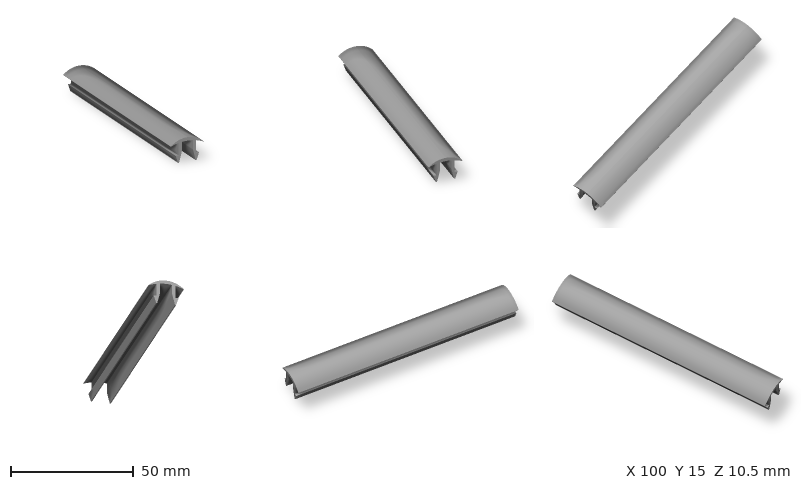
import cadquery as cq

LENGTH = 100.0
WIDTH = 15.0
HEIGHT = 10.45

CAP_RISE = 2.95
CAP_EDGE_THICKNESS = 0.1
CAP_THICKNESS = 1.5
UNDERSIDE_RISE = CAP_RISE + CAP_EDGE_THICKNESS - CAP_THICKNESS

LEG_INNER = 2.5
LEG_THICKNESS = 1.5
LEG_OUTER = LEG_INNER + LEG_THICKNESS
BARB_OVERHANG = 1.25
BARB_OUTER = LEG_OUTER + BARB_OVERHANG
FOOT_INNER = 3.75
FOOT_WIDTH = 0.45
FOOT_OUTER = FOOT_INNER + FOOT_WIDTH

CROWN_Z = HEIGHT
EDGE_Z = CROWN_Z - CAP_RISE
UNDERSIDE_Z = CROWN_Z - CAP_THICKNESS
LOWER_EDGE_Z = EDGE_Z - CAP_EDGE_THICKNESS
TAPER_Z = 4.8
BARB_Z = 3.2

BARB_LAND = 0.15


def arc_point(crown_z, rise, y):
    """Point at y on a symmetric arc across the full width with the given crown height and rise."""
    radius = ((WIDTH / 2) ** 2 + rise ** 2) / (2 * rise)
    return y, crown_z - radius + (radius ** 2 - y ** 2) ** 0.5


def upper_point(y):
    """Point on the top of the cap."""
    return arc_point(CROWN_Z, CAP_RISE, y)


def lower_point(y):
    """Point on the underside of the cap."""
    return arc_point(UNDERSIDE_Z, UNDERSIDE_RISE, y)


def leg_points(side):
    """Leg outline from its outer root down around the foot to its inner root; side is 1 or -1."""
    return [
        lower_point(side * LEG_OUTER),
        (side * LEG_OUTER, BARB_Z),
        (side * BARB_OUTER, BARB_Z),
        (side * BARB_OUTER, BARB_Z - BARB_LAND),
        (side * FOOT_OUTER, 0),
        (side * FOOT_INNER, 0),
        (side * LEG_INNER, TAPER_Z),
        lower_point(side * LEG_INNER),
    ]


def make_profile():
    """Closed YZ cross-section; the upper arc is split at the crown."""
    half_width = WIDTH / 2
    quarter_width = WIDTH / 4
    flange_middle = (half_width + LEG_OUTER) / 2
    plus_y_leg = leg_points(1)
    minus_y_leg = leg_points(-1)[::-1]
    return (
        cq.Workplane("YZ", origin=(-LENGTH / 2, 0, 0))
        .moveTo(-half_width, EDGE_Z)
        .threePointArc(upper_point(-quarter_width), (0, CROWN_Z))
        .threePointArc(upper_point(quarter_width), (half_width, EDGE_Z))
        .lineTo(half_width, LOWER_EDGE_Z)
        .threePointArc(lower_point(flange_middle), plus_y_leg[0])
        .polyline(plus_y_leg[1:], includeCurrent=True)
        .threePointArc((0, UNDERSIDE_Z), minus_y_leg[0])
        .polyline(minus_y_leg[1:], includeCurrent=True)
        .threePointArc(lower_point(-flange_middle), (-half_width, LOWER_EDGE_Z))
        .close()
    )


result = make_profile().extrude(LENGTH, clean=False)